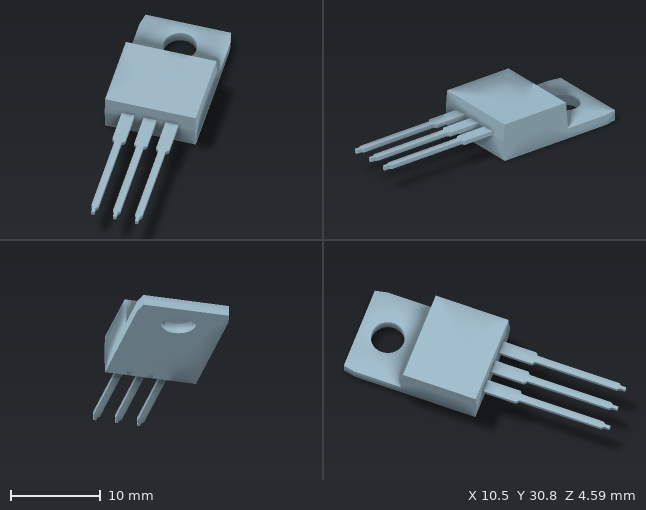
import cadquery as cq
import math


package_width = 10.5
overall_length = 30.79

housing_height = 4.59
parting_height = 2.52
draft = math.tan(math.radians(5))
housing_base_length = 9.25

tab_thickness = 1.25
tab_length = 6.75
tab_corner_length = 1.45
tab_corner_width = 0.3
tab_hole_diameter = 3.8
tab_hole_to_end = 3.4

lead_count = 3
lead_pitch = 2.54
lead_thickness = 0.5
lead_wide_width = 1.48
lead_narrow_width = 0.8
lead_tip_width = 0.36
lead_wide_end = 3.89
lead_narrow_start = 4.19
lead_narrow_end = 13.88
lead_tip_start = 14.2

tab_end_y = housing_base_length + tab_length
lead_length = overall_length - tab_end_y


def make_housing():
    """Block with drafted ends; the lead end drafts both ways from the parting edge."""
    profile = [
        (parting_height * draft, 0),
        (0, parting_height),
        ((housing_height - parting_height) * draft, housing_height),
        (housing_base_length - housing_height * draft, housing_height),
        (housing_base_length, 0),
    ]
    return (
        cq.Workplane("YZ")
        .polyline(profile)
        .close()
        .extrude(package_width / 2, both=True)
    )


def make_tab(housing):
    """Plate with tapered free corners and a screw hole, fitted to the housing's drafted face."""
    half_width = package_width / 2
    corner_x = half_width - tab_corner_width
    corner_y = tab_end_y - tab_corner_length
    root_y = housing_base_length - tab_thickness * draft
    outline = [
        (-half_width, root_y),
        (half_width, root_y),
        (half_width, corner_y),
        (corner_x, tab_end_y),
        (-corner_x, tab_end_y),
        (-half_width, corner_y),
    ]
    plate = cq.Workplane("XY").polyline(outline).close().extrude(tab_thickness)
    hole = (
        cq.Workplane("XY")
        .center(0, tab_end_y - tab_hole_to_end)
        .circle(tab_hole_diameter / 2)
        .extrude(tab_thickness)
    )
    return plate.cut(hole).cut(housing)


def make_lead(center_x, housing):
    """Flat lead stepping down twice in width, its root fitted to the drafted housing face."""
    root_y = lead_thickness * draft
    right_side = [
        (lead_wide_width / 2, root_y),
        (lead_wide_width / 2, -lead_wide_end),
        (lead_narrow_width / 2, -lead_narrow_start),
        (lead_narrow_width / 2, -lead_narrow_end),
        (lead_tip_width / 2, -lead_tip_start),
        (lead_tip_width / 2, -lead_length),
    ]
    left_side = [(-x, y) for x, y in reversed(right_side)]
    lead = (
        cq.Workplane("XY")
        .polyline(right_side + left_side)
        .close()
        .extrude(lead_thickness)
        .translate((center_x, 0, parting_height))
    )
    return lead.cut(housing)


housing = make_housing()
tab = make_tab(housing)

leads = []
for index in range(lead_count):
    lead_x = (index - (lead_count - 1) / 2) * lead_pitch
    leads.append(make_lead(lead_x, housing))

result = cq.Compound.makeCompound([
    housing.val(),
    tab.val(),
    *[lead.val() for lead in leads],
])